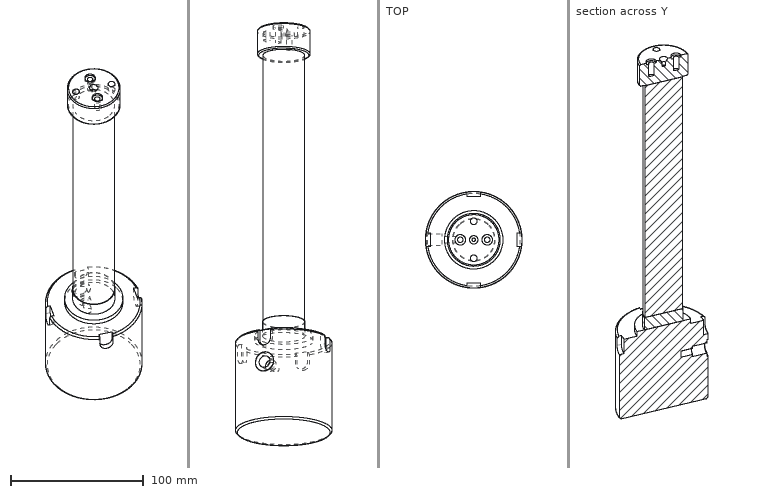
import cadquery as cq
import math

HOUSING_DIAMETER = 73.0
HOUSING_HEIGHT = 72.0
HOUSING_CHAMFER = 1.5
COLLAR_DIAMETER = 44.0
COLLAR_TOP = 76.0

SLOT_COUNT = 4
SLOT_WIDTH = 10.0
SLOT_DEPTH = 3.8
SLOT_LENGTH = 13.0

PORT_HEIGHT = 46.0
PORT_FACE_DIAMETER = 15.0
PORT_FACE_DEPTH = 1.0
PORT_DIAMETER = 9.0
PORT_DEPTH = 12.7
PORT_PILOT_DIAMETER = 5.0
PORT_PILOT_DEPTH = 22.2

STUB_DIAMETER = 32.0
SHAFT_DIAMETER = 31.5
SHAFT_BOTTOM = 87.2

TOTAL_HEIGHT = 317.0
HEAD_DIAMETER = 40.0
HEAD_HEIGHT = 20.0
HEAD_CHAMFER = 1.0
HEAD_BOTTOM = TOTAL_HEIGHT - HEAD_HEIGHT

CENTRE_CONE_DIAMETER = 6.3
CENTRE_CONE_ANGLE = 60.0
CENTRE_PILOT_DIAMETER = 2.5
CENTRE_PILOT_DEPTH = 6.3
SCREW_OFFSET = 10.0
SCREW_HOLE_DIAMETER = 4.0
SCREW_HOLE_DEPTH = 12.7
COUNTERBORE_DIAMETER = 8.0
COUNTERBORE_DEPTH = 1.5
DOWEL_OFFSET = 14.0
DOWEL_HOLE_DIAMETER = 5.0
DOWEL_HOLE_DEPTH = 6.3
DRILL_POINT_ANGLE = 118.0


def cylinder(diameter, bottom, top):
    """Upright cylinder on the Z axis."""
    return cq.Workplane("XY").workplane(offset=bottom).circle(diameter / 2).extrude(top - bottom)


def rim_slot():
    """Round-ended slot cutter through the -X side of the housing rim."""
    end_radius = SLOT_WIDTH / 2
    end_centre = HOUSING_HEIGHT - SLOT_LENGTH + end_radius
    outline = (
        cq.Workplane("YZ")
        .workplane(offset=-HOUSING_DIAMETER / 2)
        .moveTo(-end_radius, HOUSING_HEIGHT)
        .lineTo(-end_radius, end_centre)
        .threePointArc((0, end_centre - end_radius), (end_radius, end_centre))
        .lineTo(end_radius, HOUSING_HEIGHT)
        .close()
    )
    return outline.extrude(SLOT_DEPTH)


def port_step(diameter, depth):
    """Cutter along +X from the -X side of the housing."""
    side = cq.Workplane("YZ").workplane(offset=-HOUSING_DIAMETER / 2)
    return side.center(0, PORT_HEIGHT).circle(diameter / 2).extrude(depth)


def make_housing():
    block = cylinder(HOUSING_DIAMETER, 0, HOUSING_HEIGHT).edges().chamfer(HOUSING_CHAMFER)
    housing = block.union(cylinder(COLLAR_DIAMETER, HOUSING_HEIGHT, COLLAR_TOP))
    for index in range(SLOT_COUNT):
        turn = index * 360 / SLOT_COUNT
        housing = housing.cut(rim_slot().rotate((0, 0, 0), (0, 0, 1), turn))
    housing = housing.cut(port_step(PORT_FACE_DIAMETER, PORT_FACE_DEPTH))
    housing = housing.cut(port_step(PORT_DIAMETER, PORT_DEPTH))
    return housing.cut(port_step(PORT_PILOT_DIAMETER, PORT_PILOT_DEPTH))


def cone_height(top_diameter, bottom_diameter, angle):
    """Height of a cone frustum whose walls enclose the given angle in degrees."""
    return (top_diameter - bottom_diameter) / 2 / math.tan(math.radians(angle / 2))


def hole_cutter(profile):
    """Cutter turned about the Z axis from (radius, depth below the head's top) points."""
    points = [(0, TOTAL_HEIGHT)] + [(radius, TOTAL_HEIGHT - depth) for radius, depth in profile]
    return cq.Workplane("XZ").polyline(points).close().revolve(360, (0, 0, 0), (0, 1, 0))


def centre_hole():
    """Cone-shaped centre hole with a small pilot bore below it."""
    cone_radius = CENTRE_CONE_DIAMETER / 2
    pilot_radius = CENTRE_PILOT_DIAMETER / 2
    cone_depth = cone_height(CENTRE_CONE_DIAMETER, CENTRE_PILOT_DIAMETER, CENTRE_CONE_ANGLE)
    return hole_cutter([
        (cone_radius, 0),
        (pilot_radius, cone_depth),
        (pilot_radius, CENTRE_PILOT_DEPTH),
        (0, CENTRE_PILOT_DEPTH),
    ])


def screw_hole():
    """Flat-bottomed counterbored hole."""
    counterbore_radius = COUNTERBORE_DIAMETER / 2
    hole_radius = SCREW_HOLE_DIAMETER / 2
    return hole_cutter([
        (counterbore_radius, 0),
        (counterbore_radius, COUNTERBORE_DEPTH),
        (hole_radius, COUNTERBORE_DEPTH),
        (hole_radius, SCREW_HOLE_DEPTH),
        (0, SCREW_HOLE_DEPTH),
    ])


def dowel_hole():
    """Blind hole that ends in a drill point."""
    radius = DOWEL_HOLE_DIAMETER / 2
    point_depth = DOWEL_HOLE_DEPTH + cone_height(DOWEL_HOLE_DIAMETER, 0, DRILL_POINT_ANGLE)
    return hole_cutter([(radius, 0), (radius, DOWEL_HOLE_DEPTH), (0, point_depth)])


def make_head():
    head = cylinder(HEAD_DIAMETER, HEAD_BOTTOM, TOTAL_HEIGHT).edges().chamfer(HEAD_CHAMFER)
    head = head.cut(centre_hole())
    for side in (-1, 1):
        head = head.cut(screw_hole().translate((side * SCREW_OFFSET, 0, 0)))
        head = head.cut(dowel_hole().translate((0, side * DOWEL_OFFSET, 0)))
    return head


housing = make_housing()
stub = cylinder(STUB_DIAMETER, COLLAR_TOP, SHAFT_BOTTOM)
shaft = cylinder(SHAFT_DIAMETER, SHAFT_BOTTOM, HEAD_BOTTOM)
head = make_head()

result = cq.Compound.makeCompound([housing.val(), stub.val(), shaft.val(), head.val()])